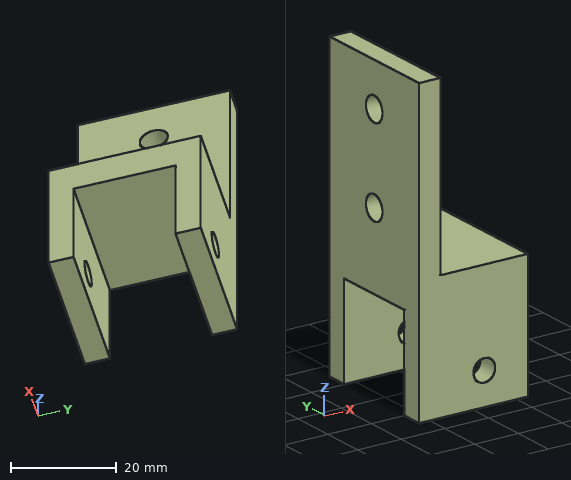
import cadquery as cq

depth = 25.0
width = 30.0
height = 68.95

wall = 4.95
block_height = 28.95
slot_height = 21.45
slot_width = width - 2 * wall

pin_diameter = 4.95
pin_x = wall + (depth - wall) / 2
pin_z = 7.5

mount_diameter = 5.5
mount_top_margin = 10.0
mount_spacing = 20.0


def make_body():
    """L-shaped side profile extruded across the width, centred on Y = 0."""
    return (
        cq.Workplane("XZ")
        .moveTo(0, 0)
        .lineTo(depth, 0)
        .lineTo(depth, block_height)
        .lineTo(wall, block_height)
        .lineTo(wall, height)
        .lineTo(0, height)
        .close()
        .extrude(width / 2, both=True)
    )


def make_slot():
    """Open-bottomed channel between the fork legs, running along X."""
    return cq.Workplane("XY").box(depth, slot_width, slot_height, centered=(False, True, False))


def make_pin_hole():
    return (
        cq.Workplane("XZ")
        .center(pin_x, pin_z)
        .circle(pin_diameter / 2)
        .extrude(width / 2, both=True)
    )


def make_mount_holes():
    top_z = height - mount_top_margin
    return (
        cq.Workplane("YZ")
        .pushPoints([(0, top_z), (0, top_z - mount_spacing)])
        .circle(mount_diameter / 2)
        .extrude(wall)
    )


result = make_body().cut(make_slot()).cut(make_pin_hole()).cut(make_mount_holes())